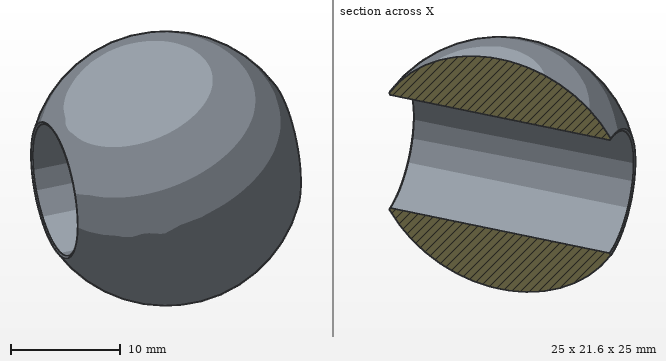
import cadquery as cq
import math

ball_diameter = 25.0
width_across_mouths = 21.58
bore_diameter = 12.2
chamfer_depth = 0.12

ball_radius = ball_diameter / 2
bore_radius = bore_diameter / 2
half_width = width_across_mouths / 2

chamfer_start = half_width - chamfer_depth
mouth_radius = math.sqrt(ball_radius**2 - half_width**2)

half_section = (
    cq.Workplane("XY")
    .moveTo(bore_radius, -chamfer_start)
    .lineTo(mouth_radius, -half_width)
    .threePointArc((ball_radius, 0), (mouth_radius, half_width))
    .lineTo(bore_radius, chamfer_start)
    .close()
)

result = half_section.revolve(360, (0, 0, 0), (0, 1, 0))